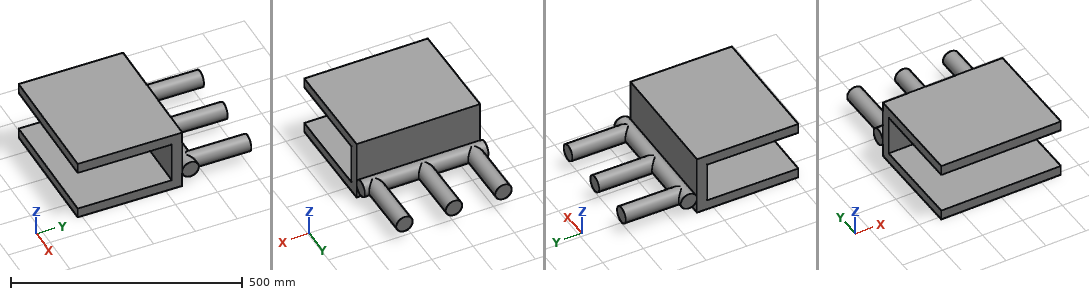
import cadquery as cq

overall_length = 420.0
width = 300.0
channel_depth = 250.0
channel_height = 150.0
channel_opening = 100.0
rod_diameter = 40.0
rod_height = 40.0
prong_spacing = 120.0
prong_count = 3

wall = (channel_height - channel_opening) / 2
rod_radius = rod_diameter / 2
crossbar_y = channel_depth + rod_radius
prong_length = overall_length - crossbar_y


def make_channel():
    """U-shaped channel, open toward -Y, with its web at the back."""
    block = cq.Workplane("XY").box(width, channel_depth, channel_height, centered=(True, False, False))
    opening = (
        cq.Workplane("XY")
        .box(width, channel_depth - wall, channel_opening, centered=(True, False, False))
        .translate((0, 0, wall))
    )
    return block.cut(opening)


def make_prong(x):
    """Round prong running in +Y from the crossbar axis."""
    start = cq.Vector(x, crossbar_y, rod_height)
    return cq.Solid.makeCylinder(rod_radius, prong_length, start, cq.Vector(0, 1, 0))


def make_fork():
    """Crossbar along X with evenly spaced prongs, joined as one solid."""
    crossbar_start = cq.Vector(-width / 2, crossbar_y, rod_height)
    crossbar = cq.Solid.makeCylinder(rod_radius, width, crossbar_start, cq.Vector(1, 0, 0))
    fork = cq.Workplane("XY").add(crossbar)
    for index in range(prong_count):
        x = (index - (prong_count - 1) / 2) * prong_spacing
        fork = fork.union(cq.Workplane("XY").add(make_prong(x)))
    return fork


channel = make_channel()
fork = make_fork()

result = cq.Compound.makeCompound([channel.val(), *fork.vals()])